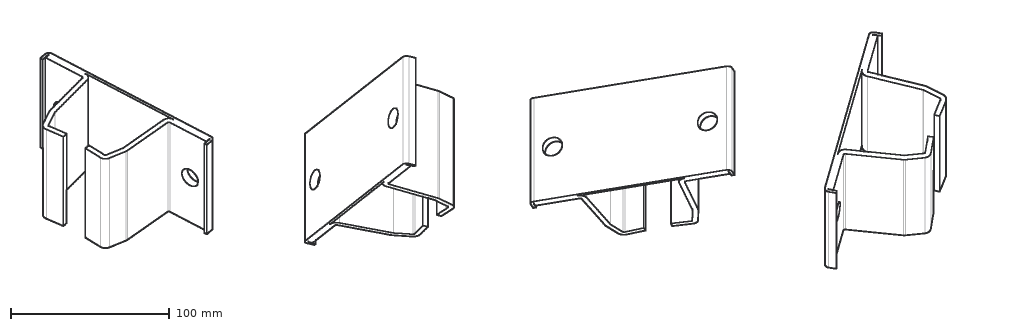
import cadquery as cq
import math

width = 134.0
depth = 59.2
height = 75.0

plate_thickness = 2.0
lip_length = 8.0
lip_inner_radius = 1.0
lip_outer_radius = lip_inner_radius + plate_thickness

sheet_thickness = 3.6
bend_inner_radius = 1.1
bend_radius = bend_inner_radius + sheet_thickness / 2
lip_gap = 0.3
flange_flat = 29.3
slope_flat = 12.3
tip_flat = 13.1

flange_heading = 0.0
leg_heading = -85.0
slope_heading = -70.0
tip_heading = 5.0

hole_diameter = 13.0
hole_spacing = 103.2


def unit_vector(heading):
    """Unit vector in the XY plane along a heading."""
    angle = math.radians(heading)
    return cq.Vector(math.cos(angle), math.sin(angle))


def flat(start, heading, length):
    """Straight stretch of the sheet's mid-line."""
    return cq.Edge.makeLine(start, start + unit_vector(heading) * length)


def bend(start, heading, next_heading):
    """Arc of the sheet's mid-line, tangent to both headings."""
    to_center = math.copysign(90, next_heading - heading)
    center = start + unit_vector(heading + to_center) * bend_radius
    middle_heading = (heading + next_heading) / 2
    middle = center - unit_vector(middle_heading + to_center) * bend_radius
    end = center - unit_vector(next_heading + to_center) * bend_radius
    return cq.Edge.makeThreePointArc(start, middle, end)


def leg_flat_length(flange_y):
    """Length of leg that brings the front of the last bend to the overall depth."""
    cosine = {heading: unit_vector(heading).x for heading in (leg_heading, slope_heading)}
    first_bend_drop = bend_radius * (1 - cosine[leg_heading])
    second_bend_drop = bend_radius * (cosine[slope_heading] - cosine[leg_heading])
    slope_drop = -slope_flat * unit_vector(slope_heading).y
    last_bend_drop = bend_radius * (1 - cosine[slope_heading])
    front_y = -depth + sheet_thickness / 2
    leg_drop = flange_y - front_y - first_bend_drop - second_bend_drop - slope_drop - last_bend_drop
    return leg_drop / -unit_vector(leg_heading).y


def make_back_plate():
    """U-shaped plate: a flat back with rounded folds into the two lips."""
    outer = (
        cq.Workplane("XY")
        .box(width, lip_length, height, centered=(True, False, True))
        .translate((0, -lip_length, 0))
        .edges("|Z and >Y")
        .fillet(lip_outer_radius)
    )
    inner = (
        cq.Workplane("XY")
        .box(width - 2 * plate_thickness, lip_length, height, centered=(True, False, True))
        .translate((0, -lip_length - plate_thickness, 0))
        .edges("|Z and >Y")
        .fillet(lip_inner_radius)
    )
    return outer.cut(inner)


def make_left_clip():
    """Bent sheet lying on the plate's left half and reaching forward."""
    flange_y = -plate_thickness - sheet_thickness / 2
    start = cq.Vector(-width / 2 + plate_thickness + lip_gap, flange_y)
    flats = [
        (flange_heading, flange_flat),
        (leg_heading, leg_flat_length(flange_y)),
        (slope_heading, slope_flat),
        (tip_heading, tip_flat),
    ]
    edges = []
    point = start
    heading = flange_heading
    for next_heading, length in flats:
        if next_heading != heading:
            edges.append(bend(point, heading, next_heading))
            point = edges[-1].endPoint()
        edges.append(flat(point, next_heading, length))
        point = edges[-1].endPoint()
        heading = next_heading
    mid_line = cq.Wire.assembleEdges(edges)
    return cq.Workplane("YZ", origin=start.toTuple()).rect(sheet_thickness, height).sweep(mid_line)


def make_hole_cutters():
    """Cylinders through the plate and both flanges."""
    hole_depth = plate_thickness + sheet_thickness
    return (
        cq.Workplane("XZ")
        .pushPoints([(-hole_spacing / 2, 0), (hole_spacing / 2, 0)])
        .circle(hole_diameter / 2)
        .extrude(hole_depth)
    )


left_clip = make_left_clip()
right_clip = left_clip.mirror("YZ")
result = make_back_plate().union(left_clip).union(right_clip).cut(make_hole_cutters())